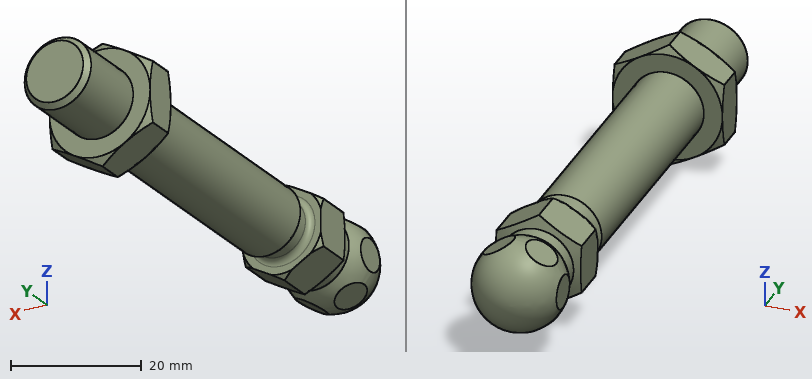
import cadquery as cq
import math

TOTAL_LENGTH = 88.0

THREAD_DIAMETER = 12.0
END_DIAMETER = 10.2
NECK_DIAMETER = 9.7
BALL_DIAMETER = 15.05
WRENCH_FLATS = 14.0
WRENCH_START = 14.5
WRENCH_END = 21.9
WRENCH_FRONT_ANGLE = 20.0
WRENCH_BACK_ANGLE = 45.0
WRENCH_BACK_DIAMETER = 14.5
NECK_FILLET = 1.05
THREAD_START = 26.2

NUT_FLATS = 18.0
NUT_START = 68.8
NUT_THICKNESS = 6.1
NUT_CHAMFER_ANGLE = 30.0


def revolve_about_y(profile):
    """Solid of revolution about the Y axis from an open (radius, y) profile."""
    return profile.close().revolve(360, (0, 0, 0), (0, 1, 0))


def hexagon_corner_radius(across_flats):
    """Distance from the axis of a hexagon to its corners."""
    return across_flats / 2 / math.cos(math.radians(30))


def hexagon_bar(across_flats, start, length):
    """Hexagonal bar along Y with two flats facing +X and -X."""
    return (
        cq.Workplane("XZ", origin=(0, start, 0))
        .transformed(rotate=(0, 0, 90))
        .polygon(6, 2 * hexagon_corner_radius(across_flats))
        .extrude(-length)
    )


def chamfered_hexagon(across_flats, start, end, front_chamfer, back_chamfer):
    """Hexagonal bar whose corners are turned off by a cone at each end.

    Each chamfer is a pair: the cone radius at the end face and its angle to that face.
    """
    corner_radius = hexagon_corner_radius(across_flats)
    front_radius, front_angle = front_chamfer
    back_radius, back_angle = back_chamfer
    front_depth = (corner_radius - front_radius) * math.tan(math.radians(front_angle))
    back_depth = (corner_radius - back_radius) * math.tan(math.radians(back_angle))
    turned_blank = revolve_about_y(
        cq.Workplane("XY")
        .moveTo(0, start)
        .lineTo(front_radius, start)
        .lineTo(corner_radius, start + front_depth)
        .lineTo(corner_radius, end - back_depth)
        .lineTo(back_radius, end)
        .lineTo(0, end)
    )
    return hexagon_bar(across_flats, start, end - start).intersect(turned_blank)


def make_ball():
    """Ball with six round flats in line with the wrench hexagon."""
    ball_radius = BALL_DIAMETER / 2
    ball = revolve_about_y(
        cq.Workplane("XY")
        .moveTo(0, 0)
        .threePointArc((ball_radius, ball_radius), (0, BALL_DIAMETER))
    )
    return ball.intersect(hexagon_bar(WRENCH_FLATS, 0, BALL_DIAMETER))


def make_shank():
    """Turned shank from the ball centre to the plain end of the thread."""
    thread_radius = THREAD_DIAMETER / 2
    neck_radius = NECK_DIAMETER / 2
    end_radius = END_DIAMETER / 2
    neck_depth = thread_radius - neck_radius
    return revolve_about_y(
        cq.Workplane("XY")
        .moveTo(0, BALL_DIAMETER / 2)
        .lineTo(thread_radius, BALL_DIAMETER / 2)
        .lineTo(thread_radius, WRENCH_END)
        .lineTo(neck_radius + NECK_FILLET, WRENCH_END)
        .radiusArc((neck_radius, WRENCH_END + NECK_FILLET), NECK_FILLET)
        .lineTo(neck_radius, THREAD_START - neck_depth)
        .lineTo(thread_radius, THREAD_START)
        .lineTo(thread_radius, TOTAL_LENGTH - (thread_radius - end_radius))
        .lineTo(end_radius, TOTAL_LENGTH)
        .lineTo(0, TOTAL_LENGTH)
    )


def make_stud():
    """Shank, ball and wrench hexagon joined into one solid."""
    wrench_hexagon = chamfered_hexagon(
        WRENCH_FLATS,
        WRENCH_START,
        WRENCH_END,
        front_chamfer=(THREAD_DIAMETER / 2, WRENCH_FRONT_ANGLE),
        back_chamfer=(WRENCH_BACK_DIAMETER / 2, WRENCH_BACK_ANGLE),
    )
    return make_shank().union(make_ball()).union(wrench_hexagon)


def make_lock_nut():
    """Hexagon nut, chamfered alike on both sides, with a bore that fits the thread."""
    nut_end = NUT_START + NUT_THICKNESS
    chamfer = (NUT_FLATS / 2, NUT_CHAMFER_ANGLE)
    blank = chamfered_hexagon(NUT_FLATS, NUT_START, nut_end, chamfer, chamfer)
    bore = (
        cq.Workplane("XZ", origin=(0, NUT_START, 0))
        .circle(THREAD_DIAMETER / 2)
        .extrude(-NUT_THICKNESS)
    )
    return blank.cut(bore)


stud = make_stud()
lock_nut = make_lock_nut()

result = cq.Compound.makeCompound([stud.val(), lock_nut.val()])